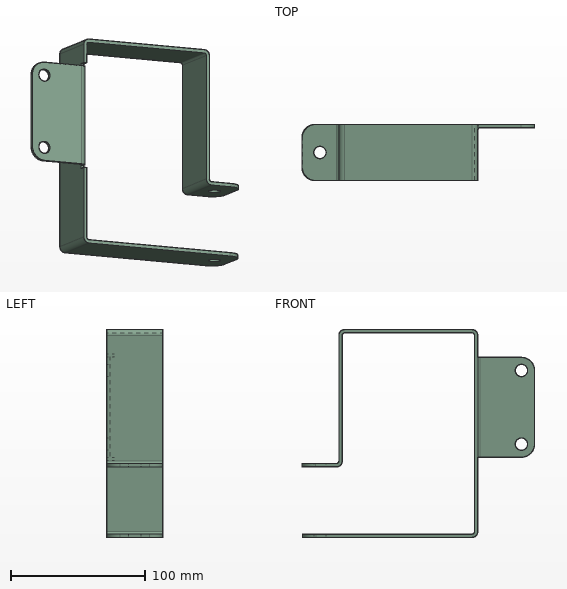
import cadquery as cq

length = 173.5
depth = 42.0
height = 155.0
sheet = 2.6
bend_inner = 1.7
bend_outer = bend_inner + sheet
corner_radius = 10.0
hole_diameter = 9.0

left_wall_x = 27.5
right_wall_x = 131.2
upper_tab_z = 52.5
lower_tab_start = 0.5
tab_hole_x = 13.5

flange_bottom = 59.7
flange_height = 74.6
flange_hole_inset = 9.9
relief_gap = 2.5
relief_depth = 5.4


def box(x0, x1, y0, y1, z0, z1):
    """Block between two opposite corners."""
    return cq.Workplane("XY").box(x1 - x0, y1 - y0, z1 - z0, centered=False).translate((x0, y0, z0))


def make_strip():
    """Bent strip with both tabs, extruded over the full depth."""
    points = [
        (0, upper_tab_z),
        (left_wall_x + sheet, upper_tab_z),
        (left_wall_x + sheet, height - sheet),
        (right_wall_x - sheet, height - sheet),
        (right_wall_x - sheet, sheet),
        (lower_tab_start, sheet),
        (lower_tab_start, 0),
        (right_wall_x, 0),
        (right_wall_x, height),
        (left_wall_x, height),
        (left_wall_x, upper_tab_z + sheet),
        (0, upper_tab_z + sheet),
    ]
    strip = cq.Workplane("XZ").polyline(points).close().extrude(-depth)

    bends = (
        (points[1], bend_outer),
        (points[10], bend_inner),
        (points[9], bend_outer),
        (points[2], bend_inner),
        (points[8], bend_outer),
        (points[3], bend_inner),
        (points[7], bend_outer),
        (points[4], bend_inner),
    )
    for (x, z), radius in bends:
        strip = strip.edges(cq.selectors.NearestToPointSelector((x, depth / 2, z))).fillet(radius)

    tab_ends = cq.selectors.BoxSelector((-sheet, -sheet, -sheet), (sheet, depth + sheet, height))
    strip = strip.edges("|Z").edges(tab_ends).fillet(corner_radius)
    return strip


def make_flange():
    """Plate bent outward from the back edge of the right wall."""
    wall_inner_x = right_wall_x - sheet
    flange = (
        cq.Workplane("XY", origin=(0, 0, flange_bottom))
        .moveTo(wall_inner_x, depth - bend_outer)
        .radiusArc((wall_inner_x + bend_outer, depth), bend_outer)
        .lineTo(length, depth)
        .lineTo(length, depth - sheet)
        .lineTo(right_wall_x + bend_inner, depth - sheet)
        .radiusArc((right_wall_x, depth - bend_outer), -bend_inner)
        .close()
        .extrude(flange_height)
    )
    flange = flange.edges("|Y and >X").fillet(corner_radius)
    hole_zs = (flange_bottom + flange_hole_inset, flange_bottom + flange_height - flange_hole_inset)
    hole_x = length - flange_hole_inset
    holes = (
        cq.Workplane("XZ")
        .pushPoints([(hole_x, z) for z in hole_zs])
        .circle(hole_diameter / 2)
        .extrude(-depth)
    )
    return flange.cut(holes)


strip = make_strip()

tab_holes = (
    cq.Workplane("XY")
    .center(tab_hole_x, depth / 2)
    .circle(hole_diameter / 2)
    .extrude(height)
)
strip = strip.cut(tab_holes)

flange_top = flange_bottom + flange_height
wall_inner_x = right_wall_x - sheet
bend_space = box(wall_inner_x, right_wall_x, depth - bend_outer, depth, flange_bottom, flange_top)
strip = strip.cut(bend_space)
for slot_bottom in (flange_bottom - relief_gap, flange_top):
    relief_slot = box(
        wall_inner_x, right_wall_x, depth - relief_depth, depth, slot_bottom, slot_bottom + relief_gap
    )
    strip = strip.cut(relief_slot)

result = strip.union(make_flange())